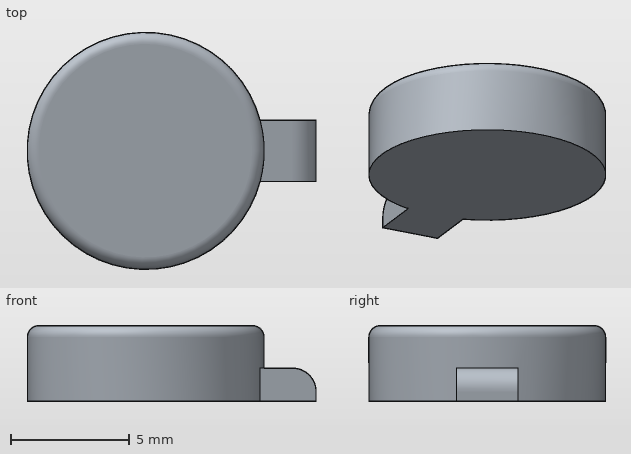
import cadquery as cq

overall_length = 12.2
body_diameter = 10.0
body_height = 3.2
body_edge_radius = 0.5
tab_width = 2.6
tab_height = 1.4
tab_edge_radius = 1.0

body_radius = body_diameter / 2
tab_end_x = overall_length - body_radius


def make_body():
    """Round disc on the Z axis with a rounded top rim."""
    disc = cq.Workplane("XY").circle(body_radius).extrude(body_height)
    return disc.faces(">Z").edges().fillet(body_edge_radius)


def make_tab():
    """Bar running from the disc centre to +X, rounded along its outer top edge."""
    bar = cq.Workplane("XY").box(tab_end_x, tab_width, tab_height, centered=(False, True, False))
    return bar.edges(">X and >Z").fillet(tab_edge_radius)


result = make_body().union(make_tab())